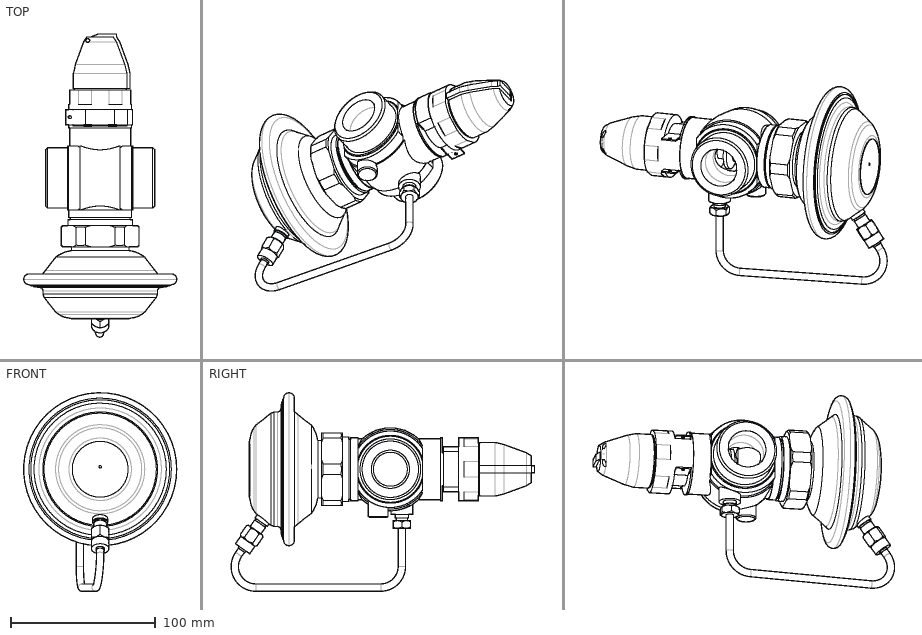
import cadquery as cq
import math


cap_top_y = 97.5
cap_base_y = 61.7
cap_radius = 18.7
cap_tip_radius = 9.2
cap_straight_top_y = 72.2
cap_cone_base_radius = 17.2
cap_cone_base_y = 78.5
cap_cone_top_radius = 11.5
cap_cone_top_y = 94.0
strap_thickness = 2.0
strap_width = 5.0
strap_crest_x = -1.3
strap_end_x = -6.3
seal_hole_radius = 1.3
seal_hole_x = -8.5
seal_hole_y = 95.0

collar_top_y = 60.9
collar_bottom_y = 34.6
collar_radius = 21.8
flat_bottom_y = 50.8
flat_distance = 21.2
joint_radius = 18.0

window_top_y = 47.2
window_bottom_y = 35.9
window_z = 11.3
clamp_bottom_y = 36.7
clamp_radius = 15.7
clamp_plate_thickness = 0.8
clamp_left_x = -24.0
clamp_band_radius = 22.5
clamp_hole_x = -21.0
clamp_hole_radius = 1.0
spindle_radius = 5.7

neck_radius = 21.2
ring_radius = 21.8
ring_bottom_y = -27.5
ring_groove_radius = 20.8
seat_radius = 22.5
seat_top_y = -28.7
body_half_depth = 22.2
belly_radius = 28.7
belly_edge_radius = 27.5
belly_half_length = 13.8
shoulder_radius = 26.5
shoulder_half_length = 21.8
port_step_radius = 23.5
port_step_length = 0.8
port_step_chamfer = 0.6
port_radius = 21.0
port_half_length = 37.8
port_chamfer = 1.5
bore_radius = 13.2
bore_depth = 9.5
throat_radius = 11.8
throat_x = 16.8
wall_front_x = -23.0
wall_back_x = -2.0
chamber_radius = 13.0
stem_radius = 5.2
disc_radius = 11.5
disc_top_y = 6.3
disc_rim_y = 4.0
disc_bottom_y = 1.5
disc_bottom_radius = 6.3

nut_top_y = -33.0
nut_bottom_y = -47.6
nut_across_flats = 50.4
nut_across_chopped_corners = 54.0
nut_corner_radius = 27.3
nut_chamfer = 1.3

flange_diameter = 106.0
flange_back_y = -66.3
rim_radius = 3.8
flange_front_y = -75.3
flange_face_radius = 45.7
crimp_radius = 48.0
crimp_front_y = -74.7
crimp_back_y = -74.0
housing_neck_radius = 20.0
housing_back_y = -50.2
back_foot_radius = 39.9
front_wall_radius = 39.7
front_wall_end_y = -80.4
back_shoulder = [(25.5, -51.6), (30.6, -54.5)]
back_cone_end = (38.0, -64.0)
front_corner_start = (42.4, -75.8)
front_corner = [(40.5, -76.4), (front_wall_radius, -78.0)]
front_cone_start = (38.8, -82.7)
front_cone_end = (30.8, -92.7)
front_shoulder_start = (28.7, -94.5)
front_shoulder = [(25.4, -96.1), (21.6, -97.0)]
face_y = -97.5
face_radius = 19.3
face_step = 0.5
vent_radius = 0.8
vent_z = 1.7
vent_depth = 2.0

boss_x = 14.0
tube_boss_y = 8.0
tube_boss_radius = 7.5
tube_boss_z = -31.3
tube_neck_radius = 4.0
tube_neck_flange_radius = 4.6
tube_neck_flange_z = -33.5
plug_boss_y = -8.4
plug_boss_radius = 7.0
plug_boss_z = -33.4
plug_chamfer = 0.8

tube_diameter = 5.2
tube_bend_radius = 14.7
tube_low_z = -81.8
tube_nut_top_z = -35.5
tube_nut_bottom_z = -41.0
tube_nut_radius = 6.0
fitting_end_y = -102.2
fitting_end_z = -55.0
fitting_angle = 55.0
fitting_length = 15.7
fitting_collar_length = 6.3
fitting_radius = 6.0
ferrule_radius = 3.0
ferrule_length = 1.3
hexagon_chamfer = 1.0
stub_radius = 4.6
stub_base_radius = 5.2
stub_base_length = 6.7
stub_shank_length = 5.5
stub_groove_radius = 4.2
stub_groove_length = 1.3


def y_cylinder(radius, start_y, end_y):
    """Cylinder on the main axis."""
    return cq.Workplane("XZ").workplane(offset=-end_y).circle(radius).extrude(end_y - start_y)


def y_hexagon(across_flats, start_y, end_y, turn):
    """Hexagonal prism on the main axis; with no turn its vertices lie on X."""
    corner_diameter = across_flats / math.cos(math.radians(30))
    prism = cq.Workplane("XZ").workplane(offset=-end_y).polygon(6, corner_diameter).extrude(end_y - start_y)
    return prism.rotate((0, 0, 0), (0, 1, 0), turn)


def block(x_range, y_range, z_range):
    """Box between the given limits."""
    sizes = [high - low for low, high in (x_range, y_range, z_range)]
    return cq.Workplane("XY").box(*sizes, centered=False).translate((x_range[0], y_range[0], z_range[0]))


def make_cap():
    """Bullet-shaped cap with a sealing strap over its +X side and a sealing hole."""
    outline = [
        (cap_radius, cap_base_y),
        (cap_radius, cap_straight_top_y),
        (cap_cone_base_radius, cap_cone_base_y),
        (cap_cone_top_radius, cap_cone_top_y),
        (cap_tip_radius, cap_top_y),
    ]
    cap = (
        cq.Workplane("XY")
        .moveTo(0, cap_base_y)
        .polyline(outline, includeCurrent=True)
        .lineTo(0, cap_top_y)
        .close()
        .revolve(360, (0, 0, 0), (0, 1, 0))
    )
    strap_outline = [(x + strap_thickness, y) for x, y in outline]
    strap_top_y = cap_top_y + strap_thickness
    strap_outline += [(cap_tip_radius + strap_thickness, strap_top_y), (strap_crest_x, strap_top_y)]
    strap = (
        cq.Workplane("XY")
        .workplane(offset=-strap_width / 2)
        .moveTo(0, cap_base_y)
        .polyline(strap_outline, includeCurrent=True)
        .lineTo(strap_end_x, cap_top_y)
        .lineTo(0, cap_top_y)
        .close()
        .extrude(strap_width)
    )
    seal_hole = (
        cq.Workplane("XY")
        .center(seal_hole_x, seal_hole_y)
        .circle(seal_hole_radius)
        .extrude(cap_radius, both=True)
    )
    return cap.union(strap).cut(seal_hole)


def make_collar():
    """Collar with wrench flats, two opposite windows and the clamp inside them."""
    collar = y_cylinder(collar_radius, collar_bottom_y, flat_bottom_y)
    flats = y_cylinder(collar_radius, flat_bottom_y, collar_top_y).intersect(
        y_hexagon(2 * flat_distance, flat_bottom_y, collar_top_y, 30)
    )
    joint = y_cylinder(joint_radius, collar_top_y, cap_base_y)
    collar = collar.union(flats).union(joint)

    span = (-collar_radius, collar_radius)
    for z_range in ((window_z, collar_radius), (-collar_radius, -window_z)):
        collar = collar.cut(block(span, (window_bottom_y, window_top_y), z_range))

    slit = block((-window_z, window_z), (window_bottom_y, clamp_bottom_y), (-window_z, window_z))
    collar = collar.cut(slit.cut(y_cylinder(spindle_radius, window_bottom_y, clamp_bottom_y)))

    return collar.union(make_clamp())


def make_clamp():
    """Clamp around the collar: a band on the +X side, a saddle in each window and two tabs at -X."""
    plate_z = window_z + clamp_plate_thickness
    clamp_y = (clamp_bottom_y, window_top_y)
    plates = block((clamp_left_x, 0), clamp_y, (-plate_z, plate_z))
    band = y_cylinder(clamp_band_radius, *clamp_y)
    band = band.intersect(block((0, clamp_band_radius), clamp_y, (-plate_z, plate_z)))
    saddles = y_cylinder(clamp_radius, *clamp_y)
    gap = block((clamp_left_x, 0), clamp_y, (-window_z, window_z))
    gap = gap.cut(y_cylinder(clamp_radius, *clamp_y))
    tab_hole = (
        cq.Workplane("XY")
        .center(clamp_hole_x, (clamp_bottom_y + window_top_y) / 2)
        .circle(clamp_hole_radius)
        .extrude(plate_z, both=True)
    )
    return plates.union(band).cut(gap).cut(tab_hole).union(saddles)


def make_body():
    """Barrel on the X axis with shoulders and ports, trimmed flat in front and behind."""
    barrel = (
        cq.Workplane("XY")
        .moveTo(-shoulder_half_length, 0)
        .lineTo(-shoulder_half_length, shoulder_radius)
        .lineTo(-belly_half_length, shoulder_radius)
        .lineTo(-belly_half_length, belly_edge_radius)
        .threePointArc((0, belly_radius), (belly_half_length, belly_edge_radius))
        .lineTo(belly_half_length, shoulder_radius)
        .lineTo(shoulder_half_length, shoulder_radius)
        .lineTo(shoulder_half_length, 0)
        .close()
        .revolve(360, (0, 0, 0), (1, 0, 0))
    )
    step_half_length = shoulder_half_length + port_step_length
    steps = (
        cq.Workplane("YZ")
        .circle(port_step_radius)
        .extrude(step_half_length, both=True)
        .faces("<X or >X")
        .chamfer(port_step_chamfer)
    )
    trim = block(
        (-step_half_length, step_half_length),
        (-body_half_depth, body_half_depth),
        (-belly_radius, belly_radius),
    )
    ports = (
        cq.Workplane("YZ")
        .circle(port_radius)
        .extrude(port_half_length, both=True)
        .faces("<X or >X")
        .chamfer(port_chamfer)
    )
    return barrel.union(steps).intersect(trim).union(ports)


def make_neck_and_housing():
    """Turned profile on the main axis, from the upper neck down to the diaphragm face."""
    flange_radius = flange_diameter / 2
    rim_centre_radius = flange_radius - rim_radius
    rim_y = flange_back_y - rim_radius
    rim_reach = rim_radius * math.sin(math.radians(45))
    rim_diagonal = (rim_centre_radius + rim_reach, rim_y + rim_reach)
    return (
        cq.Workplane("XY")
        .moveTo(0, collar_bottom_y)
        .lineTo(neck_radius, collar_bottom_y)
        .lineTo(neck_radius, -body_half_depth)
        .lineTo(ring_radius, -body_half_depth)
        .lineTo(ring_radius, ring_bottom_y)
        .lineTo(ring_groove_radius, ring_bottom_y)
        .lineTo(ring_groove_radius, seat_top_y)
        .lineTo(seat_radius, seat_top_y)
        .lineTo(seat_radius, nut_top_y)
        .lineTo(housing_neck_radius, nut_top_y)
        .lineTo(housing_neck_radius, housing_back_y)
        .threePointArc(*back_shoulder)
        .lineTo(*back_cone_end)
        .lineTo(back_foot_radius, flange_back_y)
        .lineTo(rim_centre_radius, flange_back_y)
        .threePointArc(rim_diagonal, (flange_radius, rim_y))
        .radiusArc((rim_centre_radius, rim_y - rim_radius), rim_radius)
        .lineTo(crimp_radius, crimp_front_y)
        .lineTo(crimp_radius, crimp_back_y)
        .lineTo(flange_face_radius, flange_front_y)
        .lineTo(*front_corner_start)
        .threePointArc(*front_corner)
        .lineTo(front_wall_radius, front_wall_end_y)
        .lineTo(*front_cone_start)
        .lineTo(*front_cone_end)
        .lineTo(*front_shoulder_start)
        .threePointArc(*front_shoulder)
        .lineTo(face_radius, face_y)
        .lineTo(face_radius, face_y + face_step)
        .lineTo(0, face_y + face_step)
        .close()
        .revolve(360, (0, 0, 0), (0, 1, 0))
    )


def make_union_nut():
    """Hexagon nut with its six corners cut back flat."""
    nut = y_hexagon(nut_across_flats, nut_bottom_y, nut_top_y, 0)
    nut = nut.intersect(y_hexagon(nut_across_chopped_corners, nut_bottom_y, nut_top_y, 30))
    blank = y_cylinder(nut_corner_radius, nut_bottom_y, nut_top_y).faces("<Y or >Y").chamfer(nut_chamfer)
    return nut.intersect(blank)


def make_bosses():
    """Tube connection and plug boss below the body."""
    tube_boss = cq.Workplane("XY").center(-boss_x, tube_boss_y).circle(tube_boss_radius).extrude(tube_boss_z)
    tube_neck = cq.Workplane("XY").center(-boss_x, tube_boss_y).circle(tube_neck_radius).extrude(tube_nut_top_z)
    neck_flange = (
        cq.Workplane("XY")
        .center(-boss_x, tube_boss_y)
        .circle(tube_neck_flange_radius)
        .extrude(tube_neck_flange_z)
    )
    plug_boss = (
        cq.Workplane("XY")
        .center(boss_x, plug_boss_y)
        .circle(plug_boss_radius)
        .extrude(plug_boss_z)
        .faces("<Z")
        .chamfer(plug_chamfer)
    )
    return tube_boss.union(tube_neck).union(neck_flange).union(plug_boss)


def fitting_cylinder(start, length, radius):
    """Cylinder on the fitting axis, starting a distance before the outer end of the fitting."""
    return cq.Workplane(fitting_plane).workplane(offset=-start).circle(radius).extrude(length)


def make_stub():
    """Grooved stub on the diaphragm housing that carries the tube fitting."""
    groove_start = fitting_length + stub_shank_length + stub_groove_length
    base = fitting_cylinder(groove_start + stub_base_length, stub_base_length, stub_base_radius)
    groove = fitting_cylinder(groove_start, stub_groove_length, stub_groove_radius)
    shank = fitting_cylinder(fitting_length + stub_shank_length, stub_shank_length, stub_radius)
    return base.union(groove).union(shank)


def make_port_bore():
    """Bore of the -X port, tapering to its throat."""
    bore_end_x = bore_depth - port_half_length
    return (
        cq.Workplane("XY")
        .moveTo(-port_half_length, 0)
        .lineTo(-port_half_length, bore_radius)
        .lineTo(bore_end_x, bore_radius)
        .lineTo(-throat_x, throat_radius)
        .lineTo(-throat_x, 0)
        .close()
        .revolve(360, (0, 0, 0), (1, 0, 0))
    )


def make_disc():
    """Valve disc on its stem, with a tapered underside."""
    return (
        cq.Workplane("XY")
        .moveTo(0, disc_bottom_y)
        .lineTo(disc_bottom_radius, disc_bottom_y)
        .lineTo(disc_radius, disc_rim_y)
        .lineTo(disc_radius, disc_top_y)
        .lineTo(stem_radius, disc_top_y)
        .lineTo(stem_radius, chamber_radius)
        .lineTo(0, chamber_radius)
        .close()
        .revolve(360, (0, 0, 0), (0, 1, 0))
    )


def make_passages():
    """Port bores and the chamber around the valve disc, open to the -X port over a sloping wall."""
    inlet = make_port_bore()
    outlet = inlet.mirror("YZ")
    chamber = y_cylinder(chamber_radius, 0, chamber_radius)
    throat = cq.Workplane("YZ").circle(throat_radius).extrude(-throat_x)
    wall = (
        cq.Workplane("XY")
        .workplane(offset=-bore_radius)
        .polyline([(wall_front_x, -bore_radius), (wall_back_x, 0), (0, 0), (0, -bore_radius)])
        .close()
        .extrude(2 * bore_radius)
    )
    return inlet.union(throat).cut(wall).union(chamber).cut(make_disc()).union(outlet)


def make_valve():
    """The valve with its adjuster and diaphragm housing, as one solid."""
    vent = y_cylinder(vent_radius, face_y, face_y + vent_depth).translate((0, 0, vent_z))
    return (
        make_neck_and_housing()
        .union(make_body())
        .union(make_bosses())
        .union(make_union_nut())
        .union(make_collar())
        .union(make_cap())
        .union(make_stub())
        .cut(make_passages())
        .cut(vent)
    )


fitting_slope = math.radians(fitting_angle)
fitting_direction = cq.Vector(0, -math.cos(fitting_slope), -math.sin(fitting_slope))
fitting_end = cq.Vector(0, fitting_end_y, fitting_end_z)
fitting_plane = cq.Plane(origin=fitting_end, xDir=(1, 0, 0), normal=fitting_direction)


def bend(before, corner, after):
    """Start, middle and end of the arc that rounds a corner of the tube's centre line."""
    into = (before - corner).normalized()
    out = (after - corner).normalized()
    half_angle = into.getAngle(out) / 2
    setback = tube_bend_radius / math.tan(half_angle)
    sagitta = tube_bend_radius / math.sin(half_angle) - tube_bend_radius
    middle = corner + (into + out).normalized() * sagitta
    return corner + into * setback, middle, corner + out * setback


def chamfered_hexagon(plane, across_flats, length):
    """Hexagonal prism on a plane, with the corners of both ends turned down to a cone."""
    corner_diameter = across_flats / math.cos(math.radians(30))
    prism = cq.Workplane(plane).polygon(6, corner_diameter).extrude(length)
    blank = cq.Workplane(plane).circle(corner_diameter / 2).extrude(length).edges("%CIRCLE")
    return prism.intersect(blank.chamfer(hexagon_chamfer))


def make_impulse_tube():
    """Bent tube with the nut at the valve and the fitting at the diaphragm housing."""
    top = cq.Vector(-boss_x, tube_boss_y, tube_nut_top_z)
    first_corner = cq.Vector(-boss_x, tube_boss_y, tube_low_z)
    drop = (fitting_end_z - tube_low_z) / math.sin(fitting_slope)
    second_corner = fitting_end + fitting_direction * drop
    first_bend = bend(top, first_corner, second_corner)
    second_bend = bend(first_corner, second_corner, fitting_end)
    centre_line = cq.Wire.assembleEdges([
        cq.Edge.makeLine(top, first_bend[0]),
        cq.Edge.makeThreePointArc(*first_bend),
        cq.Edge.makeLine(first_bend[2], second_bend[0]),
        cq.Edge.makeThreePointArc(*second_bend),
        cq.Edge.makeLine(second_bend[2], fitting_end),
    ])
    tube = (
        cq.Workplane("XY", origin=top.toTuple())
        .circle(tube_diameter / 2)
        .sweep(cq.Workplane(obj=centre_line))
    )
    valve_nut_plane = cq.Plane(origin=top, xDir=(1, 0, 0), normal=(0, 0, -1))
    valve_nut = chamfered_hexagon(valve_nut_plane, 2 * tube_nut_radius, tube_nut_top_z - tube_nut_bottom_z)
    hexagon_origin = fitting_end - fitting_direction * fitting_length
    hexagon_plane = cq.Plane(origin=hexagon_origin, xDir=fitting_plane.yDir, normal=fitting_direction)
    hexagon_length = fitting_length - fitting_collar_length
    hexagon = chamfered_hexagon(hexagon_plane, 2 * fitting_radius, hexagon_length)
    collar = fitting_cylinder(fitting_collar_length, fitting_collar_length, fitting_radius)
    ferrule = fitting_cylinder(0, ferrule_length, ferrule_radius)
    return tube.union(valve_nut).union(hexagon).union(collar).union(ferrule)


valve = make_valve()
impulse_tube = make_impulse_tube()
result = cq.Compound.makeCompound([valve.val(), impulse_tube.val()])